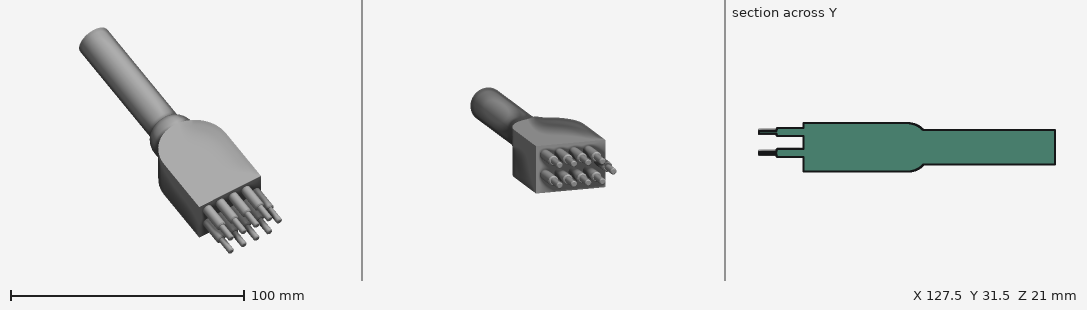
import cadquery as cq

total_length = 127.5
body_width = 31.5
body_height = 21.0

cable_diameter = 15.0
collar_start = 56.6
collar_dome_end = 63.1
collar_diameter = body_height

body_end = 108.1
nose_radius = body_width / 2
nose_center = 80.2

sleeve_diameter = 4.5
sleeve_end = 119.7
sleeve_chamfer = 0.5
tip_diameter = 2.8
tip_chamfer = 0.4

pins_per_row = 4
pin_pitch = 6.5
row_first_y = -11.7
row_heights = (6.5, -2.4)
offset_pin = (12.8, 1.7)


def rod(diameter, start, end):
    """Cylinder along X between two X positions, centred on the cable axis."""
    return cq.Workplane("YZ").workplane(offset=start).circle(diameter / 2).extrude(end - start)


def dome_arc(cable_radius, collar_radius):
    """Middle and end points of the dome arc, which runs tangent into the collar cylinder."""
    length = collar_dome_end - collar_start
    rise = collar_radius - cable_radius
    arc_radius = (length**2 + rise**2) / (2 * rise)
    middle_x = collar_dome_end - length / 2
    middle_y = collar_radius - arc_radius + (arc_radius**2 - (length / 2) ** 2) ** 0.5
    return (middle_x, middle_y), (collar_dome_end, collar_radius)


def make_collar():
    """Collar with a rounded dome that starts at the cable and ends flush with the body faces."""
    cable_radius = cable_diameter / 2
    collar_radius = collar_diameter / 2
    return (
        cq.Workplane("XY")
        .moveTo(collar_start, 0)
        .lineTo(collar_start, cable_radius)
        .threePointArc(*dome_arc(cable_radius, collar_radius))
        .lineTo(nose_center, collar_radius)
        .lineTo(nose_center, 0)
        .close()
        .revolve(360, (0, 0, 0), (1, 0, 0))
    )


def make_body():
    half_width = body_width / 2
    return (
        cq.Workplane("XY")
        .workplane(offset=-body_height / 2)
        .moveTo(body_end, -half_width)
        .lineTo(body_end, half_width)
        .lineTo(nose_center, half_width)
        .threePointArc((nose_center - nose_radius, 0), (nose_center, -half_width))
        .close()
        .extrude(body_height)
    )


def make_pin():
    sleeve = rod(sleeve_diameter, body_end, sleeve_end).faces(">X").chamfer(sleeve_chamfer)
    tip = rod(tip_diameter, body_end, total_length).faces(">X").chamfer(tip_chamfer)
    return sleeve.union(tip)


result = rod(cable_diameter, 0, nose_center).union(make_collar()).union(make_body())

pin_places = [(row_first_y + i * pin_pitch, z) for z in row_heights for i in range(pins_per_row)]
pin_places.append(offset_pin)
pin = make_pin()
for y, z in pin_places:
    result = result.union(pin.translate((0, y, z)))